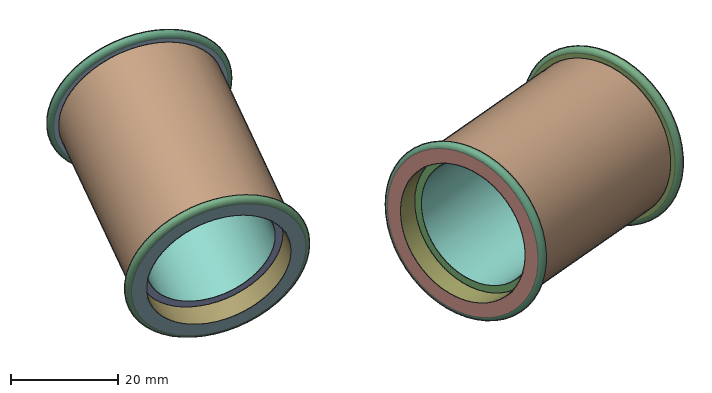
import cadquery as cq

length = 46.0
rim_diameter = 36.5
rim_width = 2.0
body_diameter = 32.5
bore_diameter = 25.5
seat_diameter = 28.5
seat_depth = 4.6

half_length = length / 2
rim_radius = rim_diameter / 2
rim_round = rim_width / 2
end_face_radius = rim_radius - rim_round


def cylinder_along_x(diameter, start, width):
    """Solid cylinder on the X axis, running from start towards +X."""
    return cq.Workplane("YZ", origin=(start, 0, 0)).circle(diameter / 2).extrude(width)


def rounded_rim(start):
    """Disc with a half-round edge, revolved about the X axis."""
    return (
        cq.Workplane("XY")
        .moveTo(start, 0)
        .lineTo(start, end_face_radius)
        .threePointArc((start + rim_round, rim_radius), (start + rim_width, end_face_radius))
        .lineTo(start + rim_width, 0)
        .close()
        .revolve(360, (0, 0, 0), (1, 0, 0))
    )


result = cylinder_along_x(body_diameter, -half_length, length)
for rim_start in (-half_length, half_length - rim_width):
    result = result.union(rounded_rim(rim_start))

result = result.cut(cylinder_along_x(bore_diameter, -half_length, length))
for seat_start in (-half_length, half_length - seat_depth):
    result = result.cut(cylinder_along_x(seat_diameter, seat_start, seat_depth))